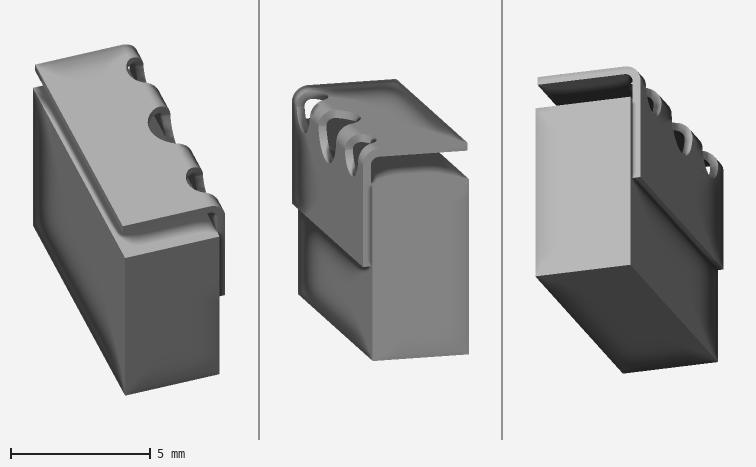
import cadquery as cq
import math

BODY_WIDTH = 10
BODY_DEPTH = 3.6
BODY_HEIGHT = 6.5

SHEET_WIDTH = 9.5
SHEET_THICKNESS = 0.3
BEND_INNER_RADIUS = 0.3
OVERALL_HEIGHT = 7.8
FLANGE_HEIGHT = 4.35

CENTRE_RADIUS = 1.2
SIDE_RADIUS = 0.9
SIDE_SPACING = 3.23
LID_CENTRE_OFFSET = 0.59
FLANGE_CENTRE_OFFSET = 0.15
CUT_MARGIN = 0.1
BEND_SECTIONS = 9

BEND_OUTER_RADIUS = BEND_INNER_RADIUS + SHEET_THICKNESS
SHEET_BACK = BODY_DEPTH + SHEET_THICKNESS
BEND_Y = SHEET_BACK - BEND_OUTER_RADIUS
BEND_Z = OVERALL_HEIGHT - BEND_OUTER_RADIUS


def make_body():
    return cq.Workplane("XY").box(BODY_WIDTH, BODY_DEPTH, BODY_HEIGHT, centered=(True, False, False))


def make_sheet():
    """Extrude the bent strip's profile across X."""
    diagonal = math.sqrt(0.5)
    outer_reach = BEND_OUTER_RADIUS * diagonal
    inner_reach = BEND_INNER_RADIUS * diagonal
    flange_bottom = OVERALL_HEIGHT - FLANGE_HEIGHT
    lid_underside = OVERALL_HEIGHT - SHEET_THICKNESS
    return (
        cq.Workplane("YZ")
        .moveTo(0, OVERALL_HEIGHT)
        .lineTo(BEND_Y, OVERALL_HEIGHT)
        .threePointArc((BEND_Y + outer_reach, BEND_Z + outer_reach), (SHEET_BACK, BEND_Z))
        .lineTo(SHEET_BACK, flange_bottom)
        .lineTo(BODY_DEPTH, flange_bottom)
        .lineTo(BODY_DEPTH, BEND_Z)
        .threePointArc((BEND_Y + inner_reach, BEND_Z + inner_reach), (BEND_Y, lid_underside))
        .lineTo(0, lid_underside)
        .close()
        .extrude(SHEET_WIDTH / 2, both=True)
    )


def chord_half_width(radius, offset):
    return math.sqrt(radius**2 - offset**2)


def arc_cutter(plane, half_width, depth):
    """Circular segment hanging below the plane's local X axis, cut through the sheet."""
    return (
        cq.Workplane(plane)
        .moveTo(-half_width, 0)
        .threePointArc((0, -depth), (half_width, 0))
        .close()
        .extrude(SHEET_THICKNESS + CUT_MARGIN, both=True)
    )


def bend_cutter(x, flange_half_width, lid_half_width):
    """Loft radial rectangles around the bend, narrowing from the flange to the lid."""
    near = BEND_INNER_RADIUS - CUT_MARGIN
    far = BEND_OUTER_RADIUS + CUT_MARGIN
    sections = []
    for index in range(BEND_SECTIONS):
        angle = math.pi / 2 * index / (BEND_SECTIONS - 1)
        along_y = math.cos(angle)
        along_z = math.sin(angle)
        half_width = lid_half_width + (flange_half_width - lid_half_width) * along_y
        corners = []
        for side, reach in ((-1, near), (1, near), (1, far), (-1, far)):
            corner_x = x + side * half_width
            corners.append(cq.Vector(corner_x, BEND_Y + reach * along_y, BEND_Z + reach * along_z))
        sections.append(cq.Wire.makePolygon(corners, close=True))
    return cq.Workplane(cq.Solid.makeLoft(sections, True))


def cut_bend_hole(sheet, x, radius):
    lid_half_width = chord_half_width(radius, LID_CENTRE_OFFSET)
    flange_half_width = chord_half_width(radius, FLANGE_CENTRE_OFFSET)
    lid_plane = cq.Plane(origin=(x, BEND_Y, OVERALL_HEIGHT), xDir=(1, 0, 0), normal=(0, 0, 1))
    flange_plane = cq.Plane(origin=(x, SHEET_BACK, BEND_Z), xDir=(1, 0, 0), normal=(0, -1, 0))
    return (
        sheet.cut(arc_cutter(lid_plane, lid_half_width, radius - LID_CENTRE_OFFSET))
        .cut(arc_cutter(flange_plane, flange_half_width, radius - FLANGE_CENTRE_OFFSET))
        .cut(bend_cutter(x, flange_half_width, lid_half_width))
    )


bent_sheet = make_sheet()
for hole_x, hole_radius in (
    (-SIDE_SPACING, SIDE_RADIUS),
    (0, CENTRE_RADIUS),
    (SIDE_SPACING, SIDE_RADIUS),
):
    bent_sheet = cut_bend_hole(bent_sheet, hole_x, hole_radius)

result = make_body().union(bent_sheet)